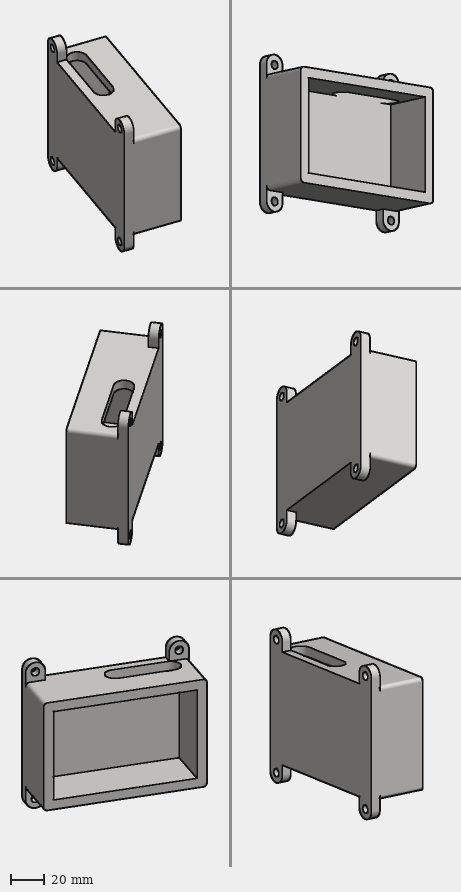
import cadquery as cq

width = 104.8
depth = 38.1
overall_height = 96.5
body_height = 71.3
corner_radius = 2.5

plate_thickness = 6.4
wall_thickness = 6.4

ear_width = 12.7
ear_radius = ear_width / 2
ear_hole_diameter = 5.0
ear_x = width / 2 - ear_radius
ear_z = overall_height / 2 - ear_radius

slot_length = 48.3
slot_width = 12.7
slot_left_margin = 7.8
slot_x = -width / 2 + slot_left_margin + slot_length / 2
slot_y = plate_thickness + slot_width / 2


def block(size_x, size_z, start_y, end_y):
    """Block centred on X and Z, spanning start_y to end_y."""
    return cq.Workplane("XY").box(size_x, end_y - start_y, size_z).translate((0, (start_y + end_y) / 2, 0))


def cylinders(diameter):
    """Cylinders through the plate thickness at the four ear centres."""
    return (
        cq.Workplane("XZ")
        .rect(2 * ear_x, 2 * ear_z, forConstruction=True)
        .vertices()
        .circle(diameter / 2)
        .extrude(-plate_thickness)
    )


def make_plate():
    """Square-cornered plate with four rounded ears."""
    plate = block(width, body_height, 0, plate_thickness)
    for side in (-1, 1):
        strip = block(ear_width, 2 * ear_z, 0, plate_thickness)
        plate = plate.union(strip.translate((side * ear_x, 0, 0)))
    return plate.union(cylinders(ear_width)).cut(cylinders(ear_hole_diameter))


def make_walls():
    """Four walls behind the plate, rounded on the outside corners."""
    outside = block(width, body_height, plate_thickness, depth).edges("|Y").fillet(corner_radius)
    cavity = block(
        width - 2 * wall_thickness,
        body_height - 2 * wall_thickness,
        plate_thickness,
        depth,
    )
    return outside.cut(cavity)


def make_slot():
    """Cutter that passes through the top wall only."""
    return (
        cq.Workplane("XY", origin=(0, 0, body_height / 2 - wall_thickness))
        .center(slot_x, slot_y)
        .slot2D(slot_length, slot_width)
        .extrude(wall_thickness)
    )


result = make_plate().union(make_walls()).cut(make_slot())